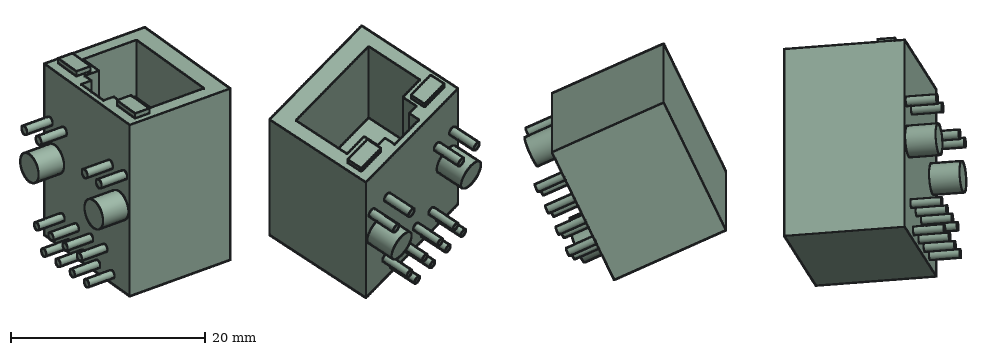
import cadquery as cq

overall_height = 21.1
light_height = 0.6
body_width = 15.2
body_depth = 12.7
body_height = overall_height - light_height

socket_depth = 12.65
main_width = 11.98
main_back_y = 10.5
main_front_y = 3.75
shoulder_width = 6.35
shoulder_front_y = 1.96
latch_width = 3.99
latch_front_y = 0.68

light_width = 3.25
light_thickness = 1.8
light_center_x = 5.21
light_center_y = 2.1

post_length = 3.2
pin_pitch = 2.53
contact_diameter = 0.9
contact_count = 4
contact_row_z = 1.14
contact_row_shift = pin_pitch / 4
light_pin_diameter = 1.01
light_pin_z = 14.1
light_pin_center_x = 5.35
peg_diameter = 3.3
peg_center_x = 5.72
peg_z = 10.02


def block(width, front_y, back_y, bottom_z, height, center_x=0):
    """Upright box given by its Y range and base height."""
    return cq.Workplane("XY").box(width, back_y - front_y, height, centered=(True, False, False)).translate(
        (center_x, front_y, bottom_z)
    )


def posts(points, diameter, length):
    """Round posts standing out of the mounting face toward -Y."""
    return cq.Workplane("XZ").pushPoints(points).circle(diameter / 2).extrude(length)


body = block(body_width, 0, body_depth, 0, body_height)

socket_floor_z = body_height - socket_depth
for width, front_y in (
    (main_width, main_front_y),
    (shoulder_width, shoulder_front_y),
    (latch_width, latch_front_y),
):
    body = body.cut(block(width, front_y, main_back_y, socket_floor_z, socket_depth))

light_front_y = light_center_y - light_thickness / 2
light_back_y = light_center_y + light_thickness / 2
for side in (-1, 1):
    light = block(light_width, light_front_y, light_back_y, body_height, light_height, side * light_center_x)
    body = body.union(light)

contact_points = []
for row, shift in enumerate((contact_row_shift, -contact_row_shift)):
    for column in range(contact_count):
        x = (column - (contact_count - 1) / 2) * pin_pitch + shift
        contact_points.append((x, contact_row_z + row * pin_pitch))

light_pin_points = [
    (side * light_pin_center_x + offset, light_pin_z)
    for side in (-1, 1)
    for offset in (-pin_pitch / 2, pin_pitch / 2)
]
peg_points = [(-peg_center_x, peg_z), (peg_center_x, peg_z)]

body = body.union(posts(contact_points, contact_diameter, post_length))
body = body.union(posts(light_pin_points, light_pin_diameter, post_length))
result = body.union(posts(peg_points, peg_diameter, post_length))